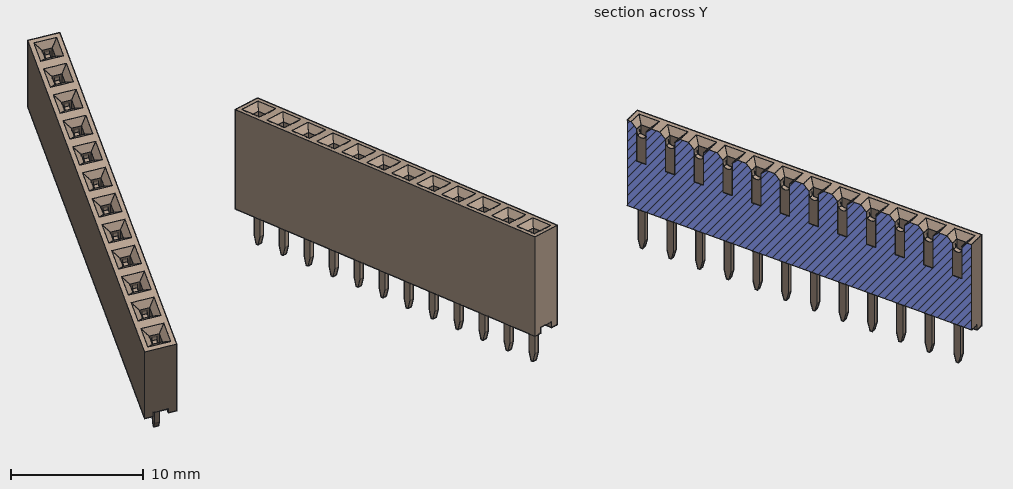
import cadquery as cq

PIN_COUNT = 12
PITCH = 2.54
HOUSING_LENGTH = PIN_COUNT * PITCH
HOUSING_WIDTH = PITCH
HOUSING_HEIGHT = 8.5

CHANNEL_WIDTH = 1.2
CHANNEL_DEPTH = 0.5

FUNNEL_MOUTH = 1.8
FUNNEL_THROAT = 0.8
FUNNEL_DEPTH = 0.5
WELL_DEPTH = 3.0

CONTACT_THICKNESS = 0.4

PIN_WIDTH = 0.6
PIN_PROJECTION = 3.0
TIP_WIDTH = 0.2
TIP_LENGTH = 0.75
ROOT_RADIUS = 0.06

BLADE_TOP_DEPTH = 0.8
FLANK_DROP = 0.27
DISH_WIDTH = 0.64
DISH_DEPTH = 0.13

WELL_FLOOR_Z = HOUSING_HEIGHT - FUNNEL_DEPTH - WELL_DEPTH
FIRST_PIN_X = -(PIN_COUNT - 1) * PITCH / 2
PIN_POSITIONS = [(FIRST_PIN_X + i * PITCH, 0) for i in range(PIN_COUNT)]


def make_housing():
    """Rectangular bar standing on Z = 0, with a channel along its underside."""
    bar = cq.Workplane("XY").box(HOUSING_LENGTH, HOUSING_WIDTH, HOUSING_HEIGHT, centered=(True, True, False))
    channel = cq.Workplane("XY").box(HOUSING_LENGTH, CHANNEL_WIDTH, CHANNEL_DEPTH, centered=(True, True, False))
    return bar.cut(channel)


def make_socket():
    """Space removed for one socket: a funnel over a square well."""
    funnel = (
        cq.Workplane("XY")
        .workplane(offset=HOUSING_HEIGHT)
        .rect(FUNNEL_MOUTH, FUNNEL_MOUTH)
        .workplane(offset=-FUNNEL_DEPTH)
        .rect(FUNNEL_THROAT, FUNNEL_THROAT)
        .loft(ruled=True)
    )
    well = (
        cq.Workplane("XY")
        .workplane(offset=WELL_FLOOR_Z)
        .rect(FUNNEL_THROAT, FUNNEL_THROAT)
        .extrude(WELL_DEPTH)
    )
    return funnel.union(well)


def make_blade():
    """Flat blade spanning the well across X, its top edge falling steeply to a shallow dish."""
    half_throat = FUNNEL_THROAT / 2
    half_dish = DISH_WIDTH / 2
    top_z = HOUSING_HEIGHT - BLADE_TOP_DEPTH
    dish_rim_z = top_z - FLANK_DROP
    return (
        cq.Workplane("XZ")
        .moveTo(-half_throat, top_z)
        .lineTo(-half_dish, dish_rim_z)
        .threePointArc((0, dish_rim_z - DISH_DEPTH), (half_dish, dish_rim_z))
        .lineTo(half_throat, top_z)
        .lineTo(half_throat, WELL_FLOOR_Z)
        .lineTo(-half_throat, WELL_FLOOR_Z)
        .close()
        .extrude(CONTACT_THICKNESS / 2, both=True)
    )


def make_pin():
    """Flat pin hanging from the channel roof, with a filleted root and a tapered blunt tip."""
    half_width = PIN_WIDTH / 2
    half_tip = TIP_WIDTH / 2
    half_root = half_width + ROOT_RADIUS
    root_z = CHANNEL_DEPTH - ROOT_RADIUS
    shoulder_z = TIP_LENGTH - PIN_PROJECTION
    return (
        cq.Workplane("XZ")
        .moveTo(-half_root, CHANNEL_DEPTH)
        .radiusArc((-half_width, root_z), ROOT_RADIUS)
        .lineTo(-half_width, shoulder_z)
        .lineTo(-half_tip, -PIN_PROJECTION)
        .lineTo(half_tip, -PIN_PROJECTION)
        .lineTo(half_width, shoulder_z)
        .lineTo(half_width, root_z)
        .radiusArc((half_root, CHANNEL_DEPTH), ROOT_RADIUS)
        .close()
        .extrude(CONTACT_THICKNESS / 2, both=True)
    )


def at_every_position(shape):
    """Copies of a shape, one at each pin position."""
    solid = shape.val()
    return cq.Workplane("XY").pushPoints(PIN_POSITIONS).eachpoint(lambda place: solid.moved(place))


result = (
    make_housing()
    .cut(at_every_position(make_socket()))
    .union(at_every_position(make_blade()))
    .union(at_every_position(make_pin()))
    .solids()
)